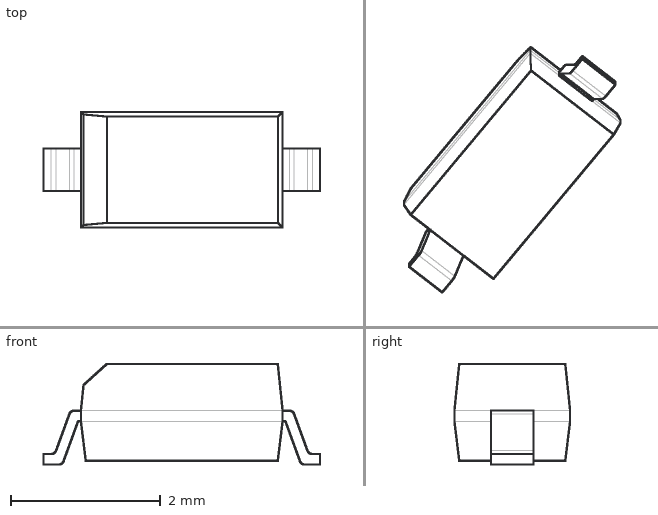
import cadquery as cq
import math

overall_length = 3.7
body_length = 2.7
body_width = 1.55
body_bottom = 0.05
body_top = 1.35
body_inset = 0.065

lead_thickness = 0.145
lead_width = 0.57
shoulder_top = 0.725
shoulder_bottom = shoulder_top - lead_thickness
lead_lean = math.radians(20)
bend_radius = 0.07
knee_x = 1.385

bevel_start_x = -1.0
bevel_end_x = -1.31
bevel_end_z = 1.07


def tapered_block(start_z, end_z):
    """Frustum that shrinks by the inset on every side from start_z to end_z."""
    return (
        cq.Workplane("XY", origin=(0, 0, start_z))
        .rect(body_length, body_width)
        .workplane(offset=end_z - start_z)
        .rect(body_length - 2 * body_inset, body_width - 2 * body_inset)
        .loft(ruled=True)
    )


def make_body():
    """Moulded housing: straight band between two tapered blocks, with one bevelled edge."""
    band = (
        cq.Workplane("XY", origin=(0, 0, shoulder_bottom))
        .rect(body_length, body_width)
        .extrude(lead_thickness)
    )
    upper = tapered_block(shoulder_top, body_top)
    lower = tapered_block(shoulder_bottom, body_bottom)

    overshoot = 0.2
    bevel_slope = (body_top - bevel_end_z) / (bevel_start_x - bevel_end_x)
    high = (bevel_start_x + overshoot, body_top + overshoot * bevel_slope)
    low = (bevel_end_x - overshoot, bevel_end_z - overshoot * bevel_slope)
    corner = (low[0], high[1])
    bevel = (
        cq.Workplane("XZ")
        .polyline([high, low, corner])
        .close()
        .extrude(body_width / 2, both=True)
    )
    return band.union(upper).union(lower).cut(bevel)


def make_lead(side):
    """Gull-wing lead butted against the body end; side is -1 or +1 along X."""
    lean = math.tan(lead_lean)
    leg_span = lead_thickness / math.cos(lead_lean)

    def inner_x(z):
        return knee_x + (shoulder_bottom - z) * lean

    def outer_x(z):
        return inner_x(z) + leg_span

    toe_x = overall_length / 2
    heel = (inner_x(0), 0)
    instep = (outer_x(lead_thickness), lead_thickness)
    shoulder = (outer_x(shoulder_top), shoulder_top)
    outline = [
        (body_length / 2, shoulder_top),
        shoulder,
        instep,
        (toe_x, lead_thickness),
        (toe_x, 0),
        heel,
        (knee_x, shoulder_bottom),
        (body_length / 2, shoulder_bottom),
    ]
    lead = (
        cq.Workplane("XZ")
        .polyline([(side * x, z) for x, z in outline])
        .close()
        .extrude(lead_width / 2, both=True)
    )
    for x, z in (shoulder, instep, heel):
        bend = cq.selectors.NearestToPointSelector((side * x, 0, z))
        lead = lead.edges("|Y").edges(bend).fillet(bend_radius)
    return lead


body = make_body()
leads = [make_lead(side) for side in (-1, 1)]

result = cq.Compound.makeCompound([body.val(), *[lead.val() for lead in leads]])